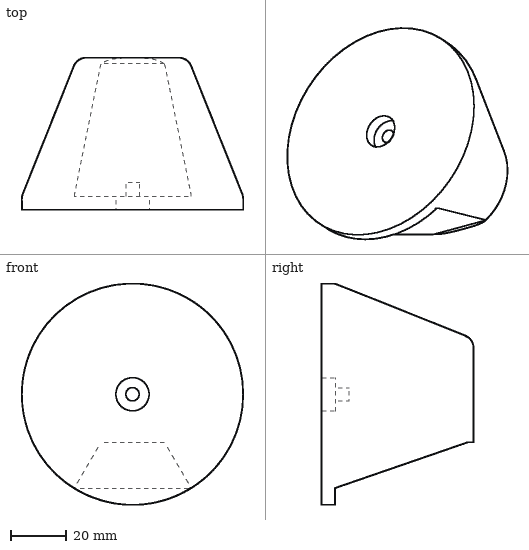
import cadquery as cq

base_radius = 40.0
end_radius = 20.0
length = 55.0
flange_thickness = 5.0
edge_fillet = 5.0

relief_depth_at_flange = 33.9
relief_depth_at_end = 17.4
end_land = 2.1

counterbore_diameter = 12.0
counterbore_depth = 5.0
hole_diameter = 4.8
hole_depth = 10.0


def make_body():
    profile = (
        cq.Workplane("XY")
        .moveTo(0, 0)
        .lineTo(base_radius, 0)
        .lineTo(base_radius, flange_thickness)
        .lineTo(end_radius, length)
        .lineTo(0, length)
        .close()
    )
    body = profile.revolve(360, (0, 0, 0), (0, 1, 0))
    rounded_edges = cq.selectors.BoxSelector(
        (-2 * base_radius, flange_thickness / 2, -2 * base_radius),
        (2 * base_radius, 2 * length, 2 * base_radius),
        boundingbox=True,
    )
    return body.edges("%CIRCLE").edges(rounded_edges).fillet(edge_fillet)


def make_relief():
    return (
        cq.Workplane("YZ")
        .moveTo(flange_thickness, -base_radius)
        .lineTo(flange_thickness, -relief_depth_at_flange)
        .lineTo(length - end_land, -relief_depth_at_end)
        .lineTo(length, -relief_depth_at_end)
        .lineTo(length, -base_radius)
        .close()
        .extrude(base_radius, both=True)
    )


def make_blind_hole(diameter, depth):
    return cq.Workplane("XZ").circle(diameter / 2).extrude(-depth)


result = (
    make_body()
    .cut(make_relief())
    .cut(make_blind_hole(counterbore_diameter, counterbore_depth))
    .cut(make_blind_hole(hole_diameter, hole_depth))
)